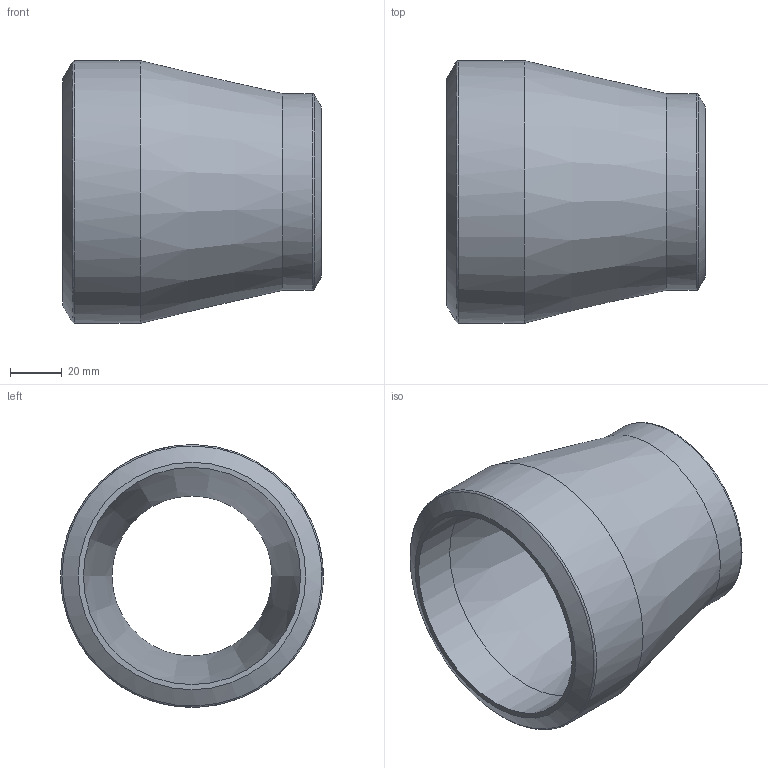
import cadquery as cq
import math

length = 100.0
large_outer_diameter = 101.6
large_bore_diameter = 84.0
small_outer_diameter = 76.1
small_bore_diameter = 61.9
large_collar_length = 30.0
small_collar_length = 15.0
large_bore_straight_length = 17.0

land_width = 2.0
bevel_angle = math.radians(30.0)
bevel_edge_radius = 1.0
selection_margin = 0.01

large_outer_radius = large_outer_diameter / 2
large_bore_radius = large_bore_diameter / 2
small_outer_radius = small_outer_diameter / 2
small_bore_radius = small_bore_diameter / 2
taper_start = large_collar_length
taper_end = length - small_collar_length


def revolved_about_x(outline):
    return outline.close().revolve(360, (0, 0, 0), (1, 0, 0))


def bevel_depth(outer_radius, bore_radius):
    """Axial length of the bevel from the land to the outer cylinder."""
    return (outer_radius - bore_radius - land_width) * math.tan(bevel_angle)


def make_outer_body():
    large_bevel = bevel_depth(large_outer_radius, large_bore_radius)
    small_bevel = bevel_depth(small_outer_radius, small_bore_radius)
    outline = (
        cq.Workplane("XY")
        .lineTo(0, large_bore_radius + land_width)
        .lineTo(large_bevel, large_outer_radius)
        .lineTo(taper_start, large_outer_radius)
        .lineTo(taper_end, small_outer_radius)
        .lineTo(length - small_bevel, small_outer_radius)
        .lineTo(length, small_bore_radius + land_width)
        .lineTo(length, 0)
    )
    body = revolved_about_x(outline)
    for bevel_edge in (large_bevel, length - small_bevel):
        edge_band = cq.selectors.BoxSelector(
            (bevel_edge - selection_margin, -length, -length),
            (bevel_edge + selection_margin, length, length),
        )
        body = body.edges(edge_band).fillet(bevel_edge_radius)
    return body


def make_bore():
    outline = (
        cq.Workplane("XY")
        .lineTo(0, large_bore_radius)
        .lineTo(large_bore_straight_length, large_bore_radius)
        .lineTo(taper_end, small_bore_radius)
        .lineTo(length, small_bore_radius)
        .lineTo(length, 0)
    )
    return revolved_about_x(outline)


result = make_outer_body().cut(make_bore())